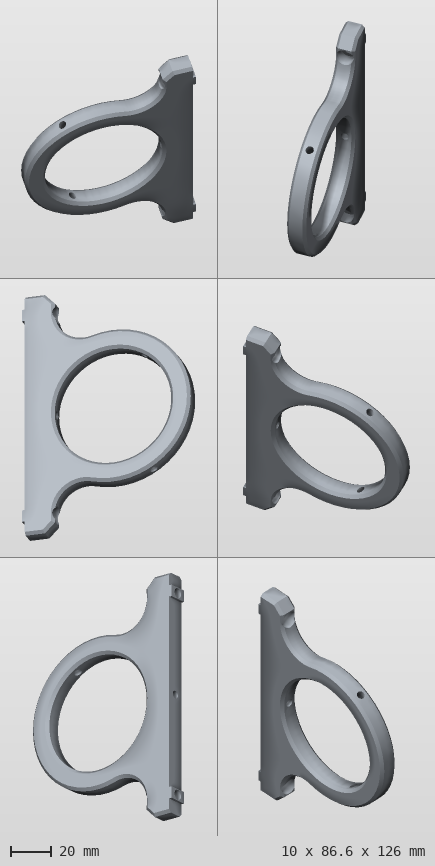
import cadquery as cq
import math

thickness = 10.0
length = 126.0
half_length = length / 2

foot_depth = 15.0
corner_cut = 5.0
blend_radius = 15.0
edge_chamfer = 1.5

ring_radius = 40.1
bore_radius = 30.0
ring_y = -(foot_depth + 2 * blend_radius)

tab_height = 6.0
tab_depth = 1.5
screw_diameter = 5.2
counterbore_diameter = 9.0
counterbore_depth = 6.0
blend_y = -(foot_depth + blend_radius)
blend_z = math.sqrt((ring_radius + blend_radius) ** 2 - blend_radius ** 2)
screw_z = blend_z

radial_diameter = 4.0
radial_angles = (60, 180, 300)


def make_plate():
    """Foot and ring outline, with tangent concave arcs between them."""
    ring_share = ring_radius / (ring_radius + blend_radius)
    tangent_y = ring_y + blend_radius * ring_share
    tangent_z = blend_z * ring_share
    end_angle = math.atan2(tangent_z - blend_z, tangent_y - blend_y)
    middle_angle = end_angle / 2
    middle_y = blend_y + blend_radius * math.cos(middle_angle)
    middle_z = blend_z + blend_radius * math.sin(middle_angle)

    plate = (
        cq.Workplane("YZ")
        .workplane(offset=-thickness / 2)
        .moveTo(0, -half_length)
        .lineTo(0, half_length)
        .lineTo(-foot_depth + corner_cut, half_length)
        .lineTo(-foot_depth, half_length - corner_cut)
        .lineTo(-foot_depth, blend_z)
        .threePointArc((middle_y, middle_z), (tangent_y, tangent_z))
        .threePointArc((ring_y - ring_radius, 0), (tangent_y, -tangent_z))
        .threePointArc((middle_y, -middle_z), (-foot_depth, -blend_z))
        .lineTo(-foot_depth, -half_length + corner_cut)
        .lineTo(-foot_depth + corner_cut, -half_length)
        .close()
        .moveTo(ring_y, 0)
        .circle(bore_radius)
        .extrude(thickness)
    )
    back_edges = cq.selectors.BoxSelector(
        (-thickness, -edge_chamfer / 2, -half_length / 2),
        (thickness, edge_chamfer / 2, half_length / 2),
    )
    side_edges = plate.faces("<X or >X").edges()
    return side_edges.edges(-back_edges).chamfer(edge_chamfer)


def make_tab(z):
    """Full-width locating tab on the back face."""
    tab = cq.Workplane("XY").box(thickness, tab_depth, tab_height)
    return tab.translate((0, tab_depth / 2, z))


def cylinder_along(start, direction, diameter, depth):
    return cq.Workplane(
        cq.Solid.makeCylinder(diameter / 2, depth, cq.Vector(*start), cq.Vector(*direction))
    )


def make_screw_hole(z):
    """Through hole with a counterbore entering from the front of the foot."""
    front = (0, -foot_depth, z)
    inward = (0, 1, 0)
    bore_start = (0, -foot_depth - blend_radius, z)
    counterbore = cylinder_along(
        bore_start, inward, counterbore_diameter, blend_radius + counterbore_depth
    )
    return cylinder_along(front, inward, screw_diameter, foot_depth + tab_depth).union(counterbore)


def make_radial_hole(angle):
    """Hole from the ring axis outward; the angle is measured from -Y toward +Z."""
    direction = (0, -math.cos(math.radians(angle)), math.sin(math.radians(angle)))
    return cylinder_along((0, ring_y, 0), direction, radial_diameter, -ring_y)


result = make_plate()
for z in (-screw_z, screw_z):
    result = result.union(make_tab(z)).cut(make_screw_hole(z))
for angle in radial_angles:
    result = result.cut(make_radial_hole(angle))